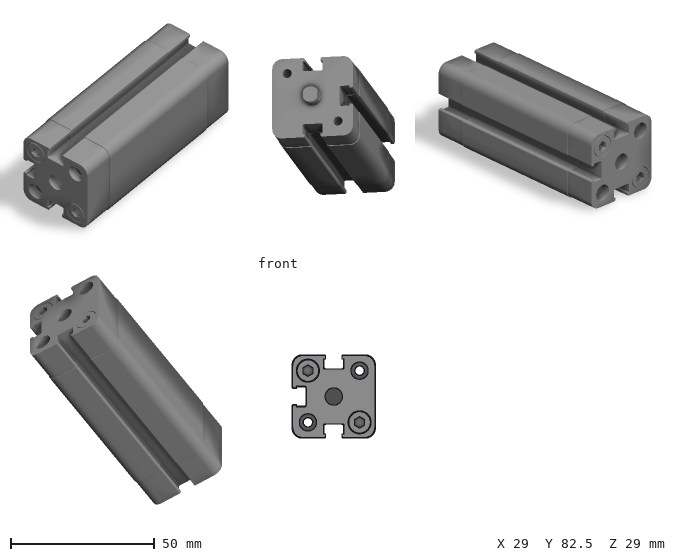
import cadquery as cq
import math

total_length = 82.5
rod_length = 4.5
cap_length = 12.2
body_length = total_length - rod_length
barrel_length = body_length - 2 * cap_length

cap_inset = 0.25
barrel_section = {
    "width": 29.0,
    "corner_radius": 3.7,
    "undercut_width": 6.7,
    "floor_height": 9.65,
}
cap_section = {
    "width": barrel_section["width"] - 2 * cap_inset,
    "corner_radius": barrel_section["corner_radius"] - cap_inset,
    "undercut_width": 7.2,
    "floor_height": 9.6,
}
slot_opening = 5.7
lip_underside_height = 13.0
slot_fillet = 0.5
slot_angles = (0, 90, 180)

hole_offset = 9.0
through_hole_diameter = 3.2
counterbore_diameter = 6.0
counterbore_depth = 3.5
port_diameter = 6.0
port_depth = 9.9
screw_recess_diameter = 8.0
screw_head_diameter = 7.5
screw_recess_depth = 4.0
hex_across_flats = 3.5
hex_sides = 6
hex_depth = 2.6

rod_diameter = 6.0
flats_width = 5.0
flat_length = 3.6
tip_chamfer_radial = 0.25
tip_chamfer_axial = 0.75

hole_points = [(-hole_offset, -hole_offset), (hole_offset, hole_offset)]
screw_points = [(-hole_offset, hole_offset), (hole_offset, -hole_offset)]


def section_plane(y):
    """Plane at depth y with local x = X, local y = Z and its normal along -Y."""
    return cq.Workplane(cq.Plane(origin=(0, y, 0), xDir=(1, 0, 0), normal=(0, -1, 0)))


def prism_length(length):
    """Extrusion distance that runs towards +Y."""
    return -length


def slot_cutter(y, length, section):
    """T-slot in the +Z side, with rounded floor corners and rounded lip edges."""
    half_opening = slot_opening / 2
    half_undercut = section["undercut_width"] / 2
    floor_height = section["floor_height"]
    top = section["width"] / 2
    right_half = (
        section_plane(y)
        .moveTo(0, floor_height)
        .lineTo(half_undercut - slot_fillet, floor_height)
        .radiusArc((half_undercut, floor_height + slot_fillet), -slot_fillet)
        .lineTo(half_undercut, lip_underside_height)
        .lineTo(half_opening, lip_underside_height)
        .lineTo(half_opening, top - slot_fillet)
        .radiusArc((half_opening + slot_fillet, top), slot_fillet)
        .lineTo(0, top)
        .close()
        .extrude(prism_length(length))
    )
    return right_half.union(right_half.mirror("YZ"))


def slotted_block(y, length, section):
    """Rounded square bar with slots on the top, left and bottom sides."""
    width = section["width"]
    block = section_plane(y).rect(width, width).extrude(prism_length(length))
    block = block.edges("|Y").fillet(section["corner_radius"])
    cutter = slot_cutter(y, length, section)
    for angle in slot_angles:
        block = block.cut(cutter.rotate((0, 0, 0), (0, 1, 0), -angle))
    return block


def front_bores(points, diameter, depth):
    """Round bores from the front face."""
    return section_plane(0).pushPoints(points).circle(diameter / 2).extrude(prism_length(depth))


def screw_clearance():
    """Thin ring gaps around the screw heads, plus their hexagon sockets."""
    rings = (
        section_plane(0)
        .pushPoints(screw_points)
        .circle(screw_recess_diameter / 2)
        .circle(screw_head_diameter / 2)
        .extrude(prism_length(screw_recess_depth))
    )
    corner_distance = hex_across_flats / math.sqrt(3)
    corners = [
        (
            corner_distance * math.sin(math.radians(360 / hex_sides * i)),
            corner_distance * math.cos(math.radians(360 / hex_sides * i)),
        )
        for i in range(hex_sides)
    ]
    for x, z in screw_points:
        outline = [(x + dx, z + dz) for dx, dz in corners]
        socket = section_plane(0).polyline(outline).close().extrude(prism_length(hex_depth))
        rings = rings.union(socket)
    return rings


def piston_rod():
    """Revolved rod with a tapered tip and two flats that run out at 45 degrees."""
    radius = rod_diameter / 2
    flat_offset = flats_width / 2
    embed = 0.8
    rod = (
        cq.Workplane("XY")
        .moveTo(0, body_length - embed)
        .lineTo(radius, body_length - embed)
        .lineTo(radius, total_length - tip_chamfer_axial)
        .lineTo(radius - tip_chamfer_radial, total_length)
        .lineTo(0, total_length)
        .close()
        .revolve(360, (0, 0, 0), (0, 1, 0))
    )
    flat_end = total_length - flat_length
    flat_cutter = (
        cq.Workplane("XY")
        .moveTo(flat_offset, total_length)
        .lineTo(flat_offset, flat_end)
        .lineTo(flat_offset + radius, flat_end - radius)
        .lineTo(flat_offset + radius, total_length)
        .close()
        .extrude(radius, both=True)
    )
    return rod.cut(flat_cutter).cut(flat_cutter.mirror("YZ"))


rear_cap_start = cap_length + barrel_length
front_cap = slotted_block(0, cap_length, cap_section)
barrel = slotted_block(cap_length, barrel_length, barrel_section)
rear_cap = slotted_block(rear_cap_start, cap_length, cap_section)
body = front_cap.union(barrel).union(rear_cap)

body = body.cut(front_bores(hole_points, through_hole_diameter, body_length))
body = body.cut(front_bores(hole_points, counterbore_diameter, counterbore_depth))
body = body.cut(front_bores([(0, 0)], port_diameter, port_depth))
body = body.cut(screw_clearance())

result = body.union(piston_rod())